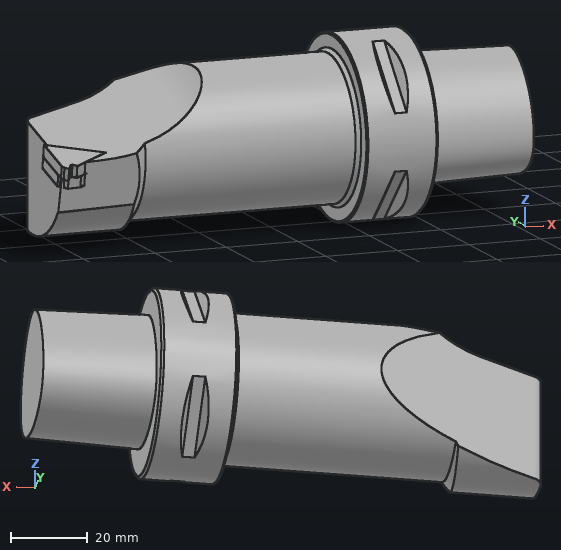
import cadquery as cq
import math

TOTAL_LENGTH = 135.0
HOLDER_FRONT_X = 0.7
NECK_X = 83.8
FLANGE_FRONT_X = 85.0
FLANGE_BACK_X = 105.2

BAR_RADIUS = 20.0
NECK_END_RADIUS = 20.9
FLANGE_RADIUS = 25.0
FLANGE_FRONT_CHAMFER = 0.4
FLANGE_BACK_CHAMFER = 0.7

SLOT_COUNT = 4
SLOT_FIRST_ANGLE = 45.0
SLOT_X = 95.0
SLOT_DEPTH = 2.7
SLOT_FLOOR_WIDTH = 3.2
SLOT_RIM_WIDTH = 6.8

SHANK_MEAN_RADIUS = 17.5
SHANK_LOBE_HEIGHT = 1.01
SHANK_TAPER = 0.74
SHANK_LOBES = 3
SHANK_CURVE_POINTS = 36

HEAD_RADIUS = 21.7
HEAD_CENTRE_Y = -1.8
HEAD_BACK_X = 25.1
HEAD_SIDE_FLAT = 24.2
HEAD_CORNER_DEPTH = 13.9
HEAD_CORNER_RISE = 6.8
RELIEF_ANGLE = 20.0
RELIEF_END_X = 46.2
NOSE_RADIUS = 3.0

RAKE_HEIGHT = 7.2
RAKE_SIDE_ANGLE = 14.3
RAKE_BACK_ANGLE = 2.0
RAKE_CENTRE_X = -8.4
RAKE_CENTRE_Y = -1.9
RAKE_RADIUS = 29.2
SCOOP_RADIUS = 33.5
SCOOP_ANGLE = 80.0

INSERT_TOP_Y = -11.9
INSERT_SIDE = 16.3
INSERT_CORNER_ANGLE = 60.0
INSERT_THICKNESS = 3.5
SEAT_THICKNESS = 3.2
SEAT_CHAMFER_Y = -23.0
SEAT_CHAMFER_X = 2.2
SEAT_END_Y = -25.0
TOOTH_POINTS = [(4.0, -25.8), (3.1, -24.7), (2.5, -24.8), (1.4, -26.9), (0.4, -25.9), (0.0, -25.0)]

OVERSIZE = 67.5

RAKE_NORMAL = cq.Vector(
    -math.tan(math.radians(RAKE_BACK_ANGLE)),
    -math.tan(math.radians(RAKE_SIDE_ANGLE)),
    1,
)
RAKE_ACROSS = cq.Vector(0, 1, math.tan(math.radians(RAKE_SIDE_ANGLE)))
RAKE_PLANE = cq.Plane(origin=(0, 0, RAKE_HEIGHT), xDir=RAKE_ACROSS.cross(RAKE_NORMAL), normal=RAKE_NORMAL)

INSERT_BACK_X = INSERT_SIDE * math.sin(math.radians(INSERT_CORNER_ANGLE))
INSERT_BACK_Y = INSERT_TOP_Y - INSERT_SIDE / 2


def insert_edge_x(y):
    """X on the insert's lower slanted edge, in rake plane coordinates."""
    return INSERT_BACK_X + (y - INSERT_BACK_Y) * math.tan(math.radians(INSERT_CORNER_ANGLE))


def make_bar_and_flange():
    front, back = FLANGE_FRONT_CHAMFER, FLANGE_BACK_CHAMFER
    profile = [
        (HOLDER_FRONT_X, 0),
        (HOLDER_FRONT_X, BAR_RADIUS),
        (NECK_X, BAR_RADIUS),
        (FLANGE_FRONT_X, NECK_END_RADIUS),
        (FLANGE_FRONT_X, FLANGE_RADIUS - front),
        (FLANGE_FRONT_X + front, FLANGE_RADIUS),
        (FLANGE_BACK_X - back, FLANGE_RADIUS),
        (FLANGE_BACK_X, FLANGE_RADIUS - back),
        (FLANGE_BACK_X, 0),
    ]
    return cq.Workplane("XY").polyline(profile).close().revolve(360, (0, 0, 0), (1, 0, 0))


def make_gripper_slot(angle):
    floor, rim = SLOT_FLOOR_WIDTH / 2, SLOT_RIM_WIDTH / 2
    slot = (
        cq.Workplane("XZ", origin=(SLOT_X, 0, FLANGE_RADIUS))
        .polyline([(-floor, -SLOT_DEPTH), (floor, -SLOT_DEPTH), (rim, 0), (-rim, 0)])
        .close()
        .extrude(FLANGE_RADIUS, both=True)
    )
    return slot.rotate((0, 0, 0), (1, 0, 0), angle)


def shank_outline(mean_radius):
    """Points of a smooth three-lobed outline with one lobe toward +Z."""
    points = []
    for index in range(SHANK_CURVE_POINTS):
        angle = 2 * math.pi * index / SHANK_CURVE_POINTS
        phase = SHANK_LOBES * (angle - math.pi / 2)
        reach = mean_radius + SHANK_LOBE_HEIGHT * math.cos(phase)
        slide = -SHANK_LOBES * SHANK_LOBE_HEIGHT * math.sin(phase)
        y = reach * math.cos(angle) - slide * math.sin(angle)
        z = reach * math.sin(angle) + slide * math.cos(angle)
        points.append((y, z))
    return points


def make_shank():
    return (
        cq.Workplane("YZ", origin=(FLANGE_BACK_X, 0, 0))
        .spline(shank_outline(SHANK_MEAN_RADIUS), periodic=True)
        .wire()
        .workplane(offset=TOTAL_LENGTH - FLANGE_BACK_X)
        .spline(shank_outline(SHANK_MEAN_RADIUS - SHANK_TAPER), periodic=True)
        .wire()
        .loft(ruled=True)
    )


def make_head():
    """Round stock with a square corner beside the side flat, closed by a 45 degree back cone."""
    round_part = (
        cq.Workplane("YZ", origin=(HOLDER_FRONT_X, HEAD_CENTRE_Y, 0))
        .circle(HEAD_RADIUS)
        .extrude(HEAD_BACK_X - HOLDER_FRONT_X)
    )
    corner = (
        cq.Workplane(RAKE_PLANE)
        .workplane(offset=-HEAD_CORNER_DEPTH)
        .moveTo(0, -HEAD_SIDE_FLAT)
        .rect(2 * OVERSIZE, HEAD_SIDE_FLAT, centered=(True, False))
        .extrude(HEAD_CORNER_DEPTH + HEAD_CORNER_RISE)
    )
    flat_side = (
        cq.Workplane(RAKE_PLANE)
        .moveTo(0, -HEAD_SIDE_FLAT)
        .rect(2 * OVERSIZE, 2 * OVERSIZE, centered=(True, False))
        .extrude(OVERSIZE, both=True)
    )
    back_cone = (
        cq.Workplane("XY")
        .polyline(
            [
                (HOLDER_FRONT_X, 0),
                (HOLDER_FRONT_X, BAR_RADIUS + HEAD_BACK_X - HOLDER_FRONT_X),
                (HEAD_BACK_X, BAR_RADIUS),
                (HEAD_BACK_X, 0),
            ]
        )
        .close()
        .revolve(360, (0, 0, 0), (1, 0, 0))
    )
    return round_part.union(corner).intersect(flat_side).intersect(back_cone)


def make_relief_cut():
    """Vertical cut that leaves the slanted side, the rounded nose corner and the front face."""
    slope = math.tan(math.radians(RELIEF_ANGLE))
    front_y = BAR_RADIUS - (RELIEF_END_X - HOLDER_FRONT_X) * slope
    far_x = RELIEF_END_X + OVERSIZE
    kept = (
        cq.Workplane("XY", origin=(0, 0, -OVERSIZE))
        .polyline(
            [
                (HOLDER_FRONT_X, front_y),
                (far_x, BAR_RADIUS + OVERSIZE * slope),
                (far_x, -OVERSIZE),
                (HOLDER_FRONT_X, -OVERSIZE),
            ]
        )
        .close()
        .extrude(2 * OVERSIZE)
    )
    kept = kept.edges(cq.selectors.NearestToPointSelector((HOLDER_FRONT_X, front_y, 0))).fillet(NOSE_RADIUS)
    block = cq.Workplane("XY").box(2 * far_x, 2 * OVERSIZE, 2 * OVERSIZE)
    return block.cut(kept).intersect(cq.Workplane("XY").box(2 * RELIEF_END_X, 2 * OVERSIZE, 2 * OVERSIZE))


def make_scoop():
    """Flat round rake floor whose rim sweeps up in an arc."""
    full, half = math.radians(SCOOP_ANGLE), math.radians(SCOOP_ANGLE / 2)
    mid = (RAKE_RADIUS + SCOOP_RADIUS * math.sin(half), SCOOP_RADIUS * (1 - math.cos(half)))
    end = (RAKE_RADIUS + SCOOP_RADIUS * math.sin(full), SCOOP_RADIUS * (1 - math.cos(full)))
    origin = RAKE_PLANE.toWorldCoords((RAKE_CENTRE_X, RAKE_CENTRE_Y, 0))
    section = cq.Plane(origin=origin, xDir=RAKE_PLANE.xDir, normal=-RAKE_PLANE.yDir)
    return (
        cq.Workplane(section)
        .lineTo(RAKE_RADIUS, 0)
        .threePointArc(mid, end)
        .lineTo(0, end[1])
        .close()
        .revolve(360, (0, 0, 0), (0, 1, 0))
    )


def make_insert():
    outline = [(0, INSERT_TOP_Y), (INSERT_BACK_X, INSERT_BACK_Y)] + TOOTH_POINTS
    return cq.Workplane(RAKE_PLANE).polyline(outline).close().extrude(-INSERT_THICKNESS)


def make_insert_seat():
    outline = [
        (0, INSERT_TOP_Y),
        (INSERT_BACK_X, INSERT_BACK_Y),
        (insert_edge_x(SEAT_END_Y), SEAT_END_Y),
        (SEAT_CHAMFER_X, SEAT_END_Y),
        (0, SEAT_CHAMFER_Y),
    ]
    return (
        cq.Workplane(RAKE_PLANE)
        .workplane(offset=-INSERT_THICKNESS)
        .polyline(outline)
        .close()
        .extrude(-SEAT_THICKNESS)
    )


def make_holder(insert):
    holder = make_bar_and_flange().union(make_head())
    holder = holder.cut(make_relief_cut()).cut(make_scoop())
    holder = holder.union(make_insert_seat()).cut(insert)
    for index in range(SLOT_COUNT):
        holder = holder.cut(make_gripper_slot(SLOT_FIRST_ANGLE + index * 360 / SLOT_COUNT))
    return holder.union(make_shank())


insert = make_insert()
holder = make_holder(insert)

result = cq.Compound.makeCompound([holder.solids().val(), insert.val()])